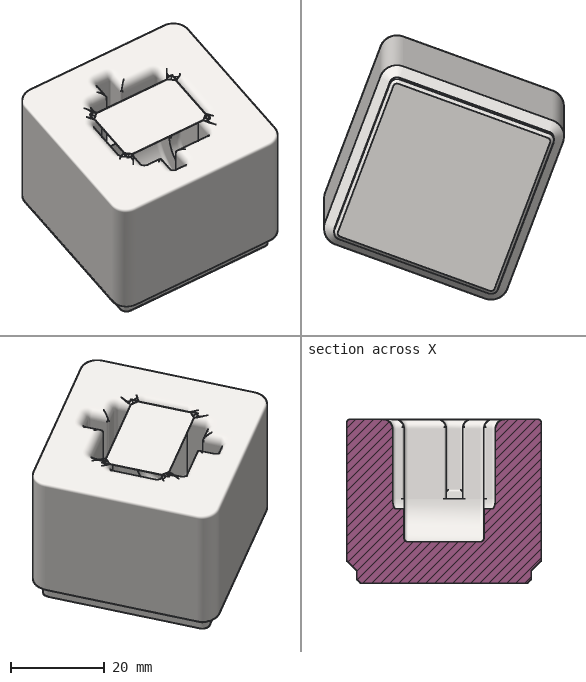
import cadquery as cq
import math

block_size = 41.5
block_height = 35.0
block_corner_radius = 3.75
top_edge_radius = 0.6

foot_lower_chamfer = 0.8
foot_band_height = 1.8
foot_upper_chamfer = 2.15
foot_height = foot_lower_chamfer + foot_band_height + foot_upper_chamfer
foot_band_size = block_size - 2 * foot_upper_chamfer
foot_bottom_size = foot_band_size - 2 * foot_lower_chamfer
foot_band_radius = block_corner_radius - foot_upper_chamfer
foot_bottom_radius = foot_band_radius - foot_lower_chamfer

rim_radius = 2.0
trough_corner_radius = 0.8
wide_half_width = 10.45
wide_half_length = 8.5
narrow_half_width = 5.5
narrow_half_length = 11.0
trough_axis_z = 18.0
tab_half_reach = 14.95
tab_half_width = 1.75
tab_center_y = -2.22
tab_corner_radius = 0.5
tab_floor_slope = 21.0
tab_floor_radius = 0.5
inner_edge_radius = 0.5

cover_thickness = 0.12
cover_half_width = 7.05
cover_half_length = 10.35
cover_chamfer_x = 1.3
cover_chamfer_y = 1.45
web_neck = 0.1
web_anchor = (8.5, 12.5)
web_rim_near = (6.65, 12.0)
web_rim_far = (7.25, 11.45)


def rounded_prism(size_x, size_y, radius, bottom_z, height):
    """Upright prism, centred on Z, with rounded vertical edges."""
    prism = cq.Workplane("XY").workplane(offset=bottom_z).rect(size_x, size_y).extrude(height)
    return prism.edges("|Z").fillet(radius)


def flared_layer(size, radius, bottom_z, height):
    """Square layer that widens upward at 45 degrees."""
    outline = cq.Sketch().rect(size, size).vertices().fillet(radius)
    return cq.Workplane("XY").workplane(offset=bottom_z).placeSketch(outline).extrude(height, taper=-45)


def make_block():
    """Solid block standing on its stepped foot."""
    foot_chamfer = flared_layer(foot_bottom_size, foot_bottom_radius, 0, foot_lower_chamfer)
    band = rounded_prism(
        foot_band_size, foot_band_size, foot_band_radius, foot_lower_chamfer, foot_band_height
    )
    upper_chamfer = flared_layer(
        foot_band_size, foot_band_radius, foot_lower_chamfer + foot_band_height, foot_upper_chamfer
    )
    body = rounded_prism(
        block_size, block_size, block_corner_radius, foot_height, block_height - foot_height
    )
    body = body.faces(">Z").edges().fillet(top_edge_radius)
    return foot_chamfer.union(band).union(upper_chamfer).union(body)


def rim_flare(half_x, half_y, corner_radius):
    """Space opened by rounding over the rim of a rectangular pocket."""
    outer_x = 2 * (half_x + rim_radius)
    outer_y = 2 * (half_y + rim_radius)
    frame_depth = 2 * rim_radius
    frame_margin = 4 * rim_radius
    frame_bottom = block_height - frame_depth
    hole = rounded_prism(2 * half_x, 2 * half_y, corner_radius, frame_bottom, frame_depth)
    frame = (
        cq.Workplane("XY")
        .workplane(offset=frame_bottom)
        .rect(outer_x + frame_margin, outer_y + frame_margin)
        .extrude(frame_depth)
        .cut(hole)
    )
    mouth_edges = cq.selectors.BoxSelector(
        (-half_x - rim_radius, -half_y - rim_radius, block_height - rim_radius / 2),
        (half_x + rim_radius, half_y + rim_radius, block_height + rim_radius / 2),
    )
    frame = frame.edges(mouth_edges).fillet(rim_radius)
    outer_radius = corner_radius + rim_radius
    space = rounded_prism(outer_x, outer_y, outer_radius, block_height - rim_radius, rim_radius)
    return space.cut(frame)


def trough(half_width, half_length):
    """Upright-walled pocket whose floor is a half cylinder lying along Y."""
    walls = rounded_prism(
        2 * half_width, 2 * half_length, trough_corner_radius, trough_axis_z, block_height - trough_axis_z
    )
    floor = (
        cq.Workplane("XZ", origin=(0, half_length, trough_axis_z))
        .circle(half_width)
        .extrude(2 * half_length)
        .edges()
        .fillet(trough_corner_radius)
    )
    below_axis = (
        cq.Workplane("XY")
        .workplane(offset=trough_axis_z)
        .rect(2 * half_width, 2 * half_length)
        .extrude(-half_width)
    )
    floor = floor.intersect(below_axis)
    return walls.union(floor).union(rim_flare(half_width, half_length, trough_corner_radius))


def tabs():
    """Slot across both side tabs; the floors fall toward the trough."""
    slot = rounded_prism(
        2 * tab_half_reach, 2 * tab_half_width, tab_corner_radius, trough_axis_z, block_height - trough_axis_z
    )
    floor_rise = (tab_half_reach - wide_half_width) * math.tan(math.radians(tab_floor_slope))
    side_profile = (
        cq.Workplane("XZ", origin=(0, tab_half_width, 0))
        .polyline([
            (-tab_half_reach, block_height),
            (-tab_half_reach, trough_axis_z + floor_rise),
            (-wide_half_width, trough_axis_z),
            (wide_half_width, trough_axis_z),
            (tab_half_reach, trough_axis_z + floor_rise),
            (tab_half_reach, block_height),
        ])
        .close()
        .extrude(2 * tab_half_width)
    )
    side_profile = side_profile.faces("<X or >X").edges("|Y").edges("<Z").fillet(tab_floor_radius)
    slot = slot.intersect(side_profile)
    slot = slot.union(rim_flare(tab_half_reach, tab_half_width, tab_corner_radius))
    return slot.translate((0, tab_center_y, 0))


def inner_edge_rounding(corner_x, corner_y, side_x, side_y):
    """Sliver cut to round an upright edge whose solid lies toward side_x, side_y."""
    center = (corner_x + side_x * inner_edge_radius, corner_y + side_y * inner_edge_radius)
    middle = (corner_x + side_x * inner_edge_radius / 2, corner_y + side_y * inner_edge_radius / 2)
    height = block_height - trough_axis_z
    base = cq.Workplane("XY").workplane(offset=trough_axis_z)
    corner = base.center(*middle).rect(inner_edge_radius, inner_edge_radius).extrude(height)
    return corner.cut(base.center(*center).circle(inner_edge_radius).extrude(height))


def round_inner_edges(space):
    """Round the upright edges where the troughs cross and where the tabs open."""
    for side_x in (-1, 1):
        for side_y in (-1, 1):
            tab_y = tab_center_y + side_y * tab_half_width
            crossing = inner_edge_rounding(
                side_x * narrow_half_width, side_y * wide_half_length, side_x, side_y
            )
            tab_mouth = inner_edge_rounding(side_x * wide_half_width, tab_y, side_x, side_y)
            space = space.union(crossing).union(tab_mouth)
    return space


def cover_sheet(points):
    """Thin sheet flush with the top of the block."""
    return (
        cq.Workplane("XY")
        .workplane(offset=block_height - cover_thickness)
        .polyline(points)
        .close()
        .extrude(cover_thickness)
    )


def make_cover():
    """Plate with a web at each corner, each web pierced beside the plate's chamfered corner."""
    end_x = cover_half_width - cover_chamfer_x
    end_y = cover_half_length - cover_chamfer_y
    hole_x = narrow_half_width + rim_radius
    hole_y = wide_half_length + rim_radius
    arc_start_x = wide_half_width - trough_corner_radius
    cover = cover_sheet([
        (-cover_half_width, -cover_half_length),
        (cover_half_width, -cover_half_length),
        (cover_half_width, cover_half_length),
        (-cover_half_width, cover_half_length),
    ])
    corners = [(1, 1, web_rim_far), (-1, 1, web_rim_near), (-1, -1, web_rim_far), (1, -1, web_rim_near)]
    for side_x, side_y, web_rim in corners:
        web = [
            (end_x, cover_half_length),
            web_rim,
            web_anchor,
            (arc_start_x, hole_y),
            (cover_half_width, end_y),
        ]
        hole = [
            (end_x + web_neck, cover_half_length),
            (end_x + web_neck, hole_y),
            (hole_x, hole_y),
            (hole_x, end_y + web_neck),
            (cover_half_width, end_y + web_neck),
        ]
        cover = cover.union(cover_sheet([(side_x * x, side_y * y) for x, y in web]))
        cover = cover.cut(cover_sheet([(side_x * x, side_y * y) for x, y in hole]))
    return cover


pocket = (
    trough(wide_half_width, wide_half_length)
    .union(trough(narrow_half_width, narrow_half_length))
    .union(tabs())
)
result = make_block().cut(round_inner_edges(pocket)).union(make_cover())